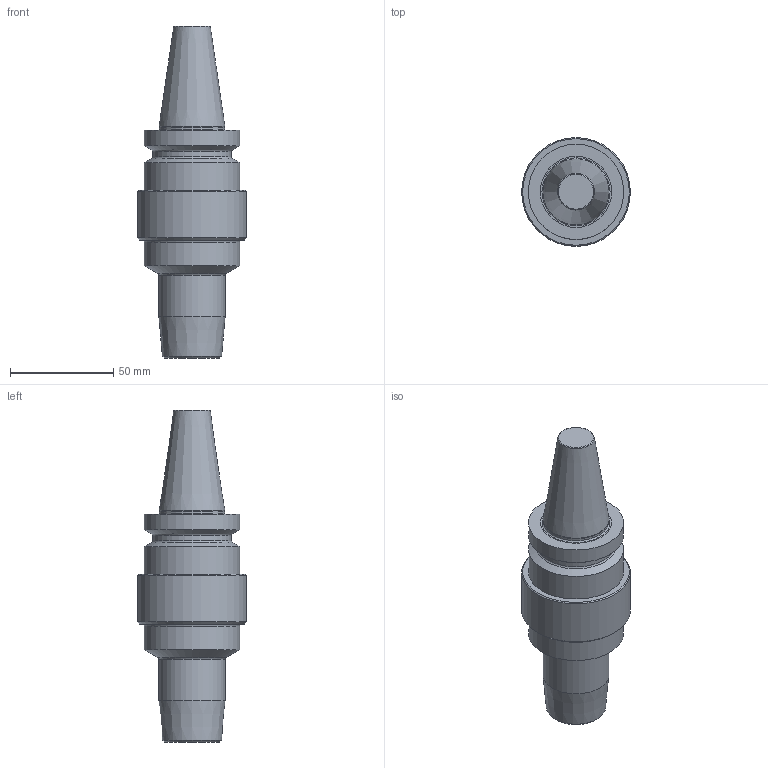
import cadquery as cq
import math


GAUGE_RADIUS = 31.75 / 2
SHANK_LENGTH = 48.4
SHANK_SLOPE = 3.5 / 24
SHANK_TIP_CHAMFER = 0.4

NECK_RADIUS = 15.75
NECK_CHAMFER_Z = -0.4
RELIEF_RADIUS = 17.2
RELIEF_FLOOR_Z = -2.2
RELIEF_FILLET = 0.7

FLANGE_RADIUS = 23.0
FLANGE_FACE_Z = -2.0
GROOVE_TOP_Z = -9.4
GROOVE_BOTTOM_Z = -17.6
GROOVE_RADIUS = 19.0
CONE_ANGLE = math.radians(30)
CORNER_FILLET = 1.0

SLEEVE_RADIUS = 52.5 / 2
SLEEVE_TOP_Z = -31.0
SLEEVE_BOTTOM_Z = -55.0
SLEEVE_TOP_CHAMFER = 0.5
SLEEVE_BOTTOM_CHAMFER = 1.0

SHOULDER_Z = -67.4
NOSE_RADIUS = 16.0
NOSE_TAPER_Z = -92.0
NOSE_END_Z = -112.0
NOSE_TAPER_ANGLE = math.radians(5)
NOSE_END_CHAMFER = 0.8


def cone_height(outer_radius, inner_radius):
    """Height of a cone face that runs between two radii."""
    return (outer_radius - inner_radius) * math.tan(CONE_ANGLE)


def sharp(radius, z):
    """Outline corner without rounding."""
    return cq.Vector(radius, z), 0


def rounded(radius, z, fillet):
    """Outline corner rounded with a tangent arc."""
    return cq.Vector(radius, z), fillet


def shank_corners():
    tip_radius = GAUGE_RADIUS - SHANK_LENGTH * SHANK_SLOPE
    chamfer_radius = tip_radius + SHANK_TIP_CHAMFER * SHANK_SLOPE
    return [
        sharp(0, SHANK_LENGTH),
        sharp(tip_radius - SHANK_TIP_CHAMFER, SHANK_LENGTH),
        sharp(chamfer_radius, SHANK_LENGTH - SHANK_TIP_CHAMFER),
        sharp(GAUGE_RADIUS, 0),
        sharp(NECK_RADIUS, NECK_CHAMFER_Z),
        rounded(NECK_RADIUS, RELIEF_FLOOR_Z, RELIEF_FILLET),
        sharp(RELIEF_RADIUS, RELIEF_FLOOR_Z),
    ]


def flange_corners():
    groove_cone = cone_height(FLANGE_RADIUS, GROOVE_RADIUS)
    return [
        sharp(RELIEF_RADIUS, FLANGE_FACE_Z),
        sharp(FLANGE_RADIUS, FLANGE_FACE_Z),
        sharp(FLANGE_RADIUS, GROOVE_TOP_Z),
        rounded(GROOVE_RADIUS, GROOVE_TOP_Z - groove_cone, CORNER_FILLET),
        rounded(GROOVE_RADIUS, GROOVE_BOTTOM_Z + groove_cone, CORNER_FILLET),
        sharp(FLANGE_RADIUS, GROOVE_BOTTOM_Z),
    ]


def sleeve_corners():
    return [
        sharp(FLANGE_RADIUS, SLEEVE_TOP_Z),
        sharp(SLEEVE_RADIUS - SLEEVE_TOP_CHAMFER, SLEEVE_TOP_Z),
        sharp(SLEEVE_RADIUS, SLEEVE_TOP_Z - SLEEVE_TOP_CHAMFER),
        sharp(SLEEVE_RADIUS, SLEEVE_BOTTOM_Z + SLEEVE_BOTTOM_CHAMFER),
        sharp(SLEEVE_RADIUS - SLEEVE_BOTTOM_CHAMFER, SLEEVE_BOTTOM_Z),
        rounded(FLANGE_RADIUS, SLEEVE_BOTTOM_Z, CORNER_FILLET),
    ]


def nose_corners():
    taper_slope = math.tan(NOSE_TAPER_ANGLE)
    chamfer_z = NOSE_END_Z + NOSE_END_CHAMFER
    chamfer_radius = NOSE_RADIUS - (NOSE_TAPER_Z - chamfer_z) * taper_slope
    return [
        sharp(FLANGE_RADIUS, SHOULDER_Z),
        rounded(NOSE_RADIUS, SHOULDER_Z - cone_height(FLANGE_RADIUS, NOSE_RADIUS), CORNER_FILLET),
        sharp(NOSE_RADIUS, NOSE_TAPER_Z),
        sharp(chamfer_radius, chamfer_z),
        sharp(chamfer_radius - NOSE_END_CHAMFER, NOSE_END_Z),
        sharp(0, NOSE_END_Z),
    ]


def add_rounded_corner(path, before, corner, after, fillet):
    """Line up to the corner, then an arc tangent to both of its sides."""
    to_before = (before - corner).normalized()
    to_after = (after - corner).normalized()
    half_angle = to_before.getAngle(to_after) / 2
    tangent_length = fillet / math.tan(half_angle)
    middle_distance = fillet / math.sin(half_angle) - fillet
    start = corner + to_before * tangent_length
    middle = corner + (to_before + to_after).normalized() * middle_distance
    end = corner + to_after * tangent_length
    return path.lineTo(start.x, start.y).threePointArc((middle.x, middle.y), (end.x, end.y))


def draw_outline(corners):
    """Closed half profile in the XZ plane; the first and last corners lie on the axis."""
    first = corners[0][0]
    path = cq.Workplane("XZ").moveTo(first.x, first.y)
    for index in range(1, len(corners)):
        corner, fillet = corners[index]
        if fillet > 0:
            before = corners[index - 1][0]
            after = corners[index + 1][0]
            path = add_rounded_corner(path, before, corner, after, fillet)
        else:
            path = path.lineTo(corner.x, corner.y)
    return path.close()


holder_corners = shank_corners() + flange_corners() + sleeve_corners() + nose_corners()
result = draw_outline(holder_corners).revolve(360, (0, 0, 0), (0, 1, 0))